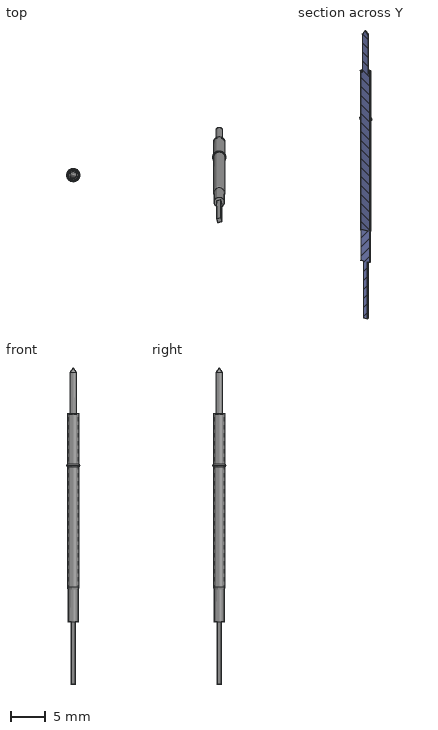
import cadquery as cq


receptacle_diameter = 1.68
receptacle_length = 30.0
shoulder_depth = 25.0
taper_length = 0.36
lower_diameter = 1.49
bore_diameter = 1.38
bore_depth = shoulder_depth

ring_diameter = 1.93
ring_depth = 7.5
ring_half_height = 0.2

post_width = 0.635
post_length = 9.0

barrel_diameter = 1.36
barrel_recess = 0.2
plunger_diameter = 1.0
plunger_height = 6.55
tip_height = 0.7


def revolve_about_z(half_profile):
    """Revolve a closed half profile in the XZ plane into a solid about Z."""
    return half_profile.revolve(360, (0, 0, 0), (0, 1, 0))


def make_receptacle():
    outer_radius = receptacle_diameter / 2
    ring_radius = ring_diameter / 2
    lower_radius = lower_diameter / 2
    bore_radius = bore_diameter / 2

    tube = revolve_about_z(
        cq.Workplane("XZ")
        .moveTo(bore_radius, 0)
        .lineTo(outer_radius, 0)
        .lineTo(outer_radius, -ring_depth + ring_half_height)
        .lineTo(ring_radius, -ring_depth)
        .lineTo(outer_radius, -ring_depth - ring_half_height)
        .lineTo(outer_radius, -shoulder_depth)
        .lineTo(lower_radius, -shoulder_depth - taper_length)
        .lineTo(lower_radius, -receptacle_length)
        .lineTo(0, -receptacle_length)
        .lineTo(0, -bore_depth)
        .lineTo(bore_radius, -bore_depth)
        .close()
    )
    post = (
        cq.Workplane("XY", origin=(0, 0, -receptacle_length))
        .rect(post_width, post_width)
        .extrude(-post_length)
    )
    return tube.union(post)


def make_probe():
    barrel_radius = barrel_diameter / 2
    plunger_radius = plunger_diameter / 2

    return revolve_about_z(
        cq.Workplane("XZ")
        .moveTo(0, -bore_depth)
        .lineTo(barrel_radius, -bore_depth)
        .lineTo(barrel_radius, -barrel_recess)
        .lineTo(plunger_radius, -barrel_recess)
        .lineTo(plunger_radius, plunger_height - tip_height)
        .lineTo(0, plunger_height)
        .close()
    )


receptacle = make_receptacle()
probe = make_probe()

result = cq.Compound.makeCompound([receptacle.val(), probe.val()])